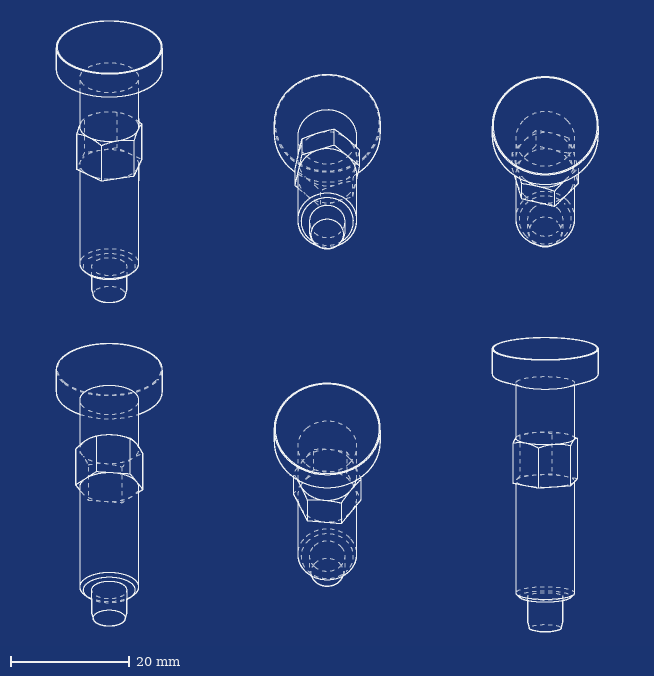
import cadquery as cq
import math

total_height = 49.0
head_edge_z = 44.4
neck_top_z = 43.0
hex_top_z = 33.4
hex_bottom_z = 26.0
body_bottom_z = 6.0
pin_nose_z = 1.55
pin_tip_z = 0.5

head_radius = 18.0 / 2
body_diameter = 10.0
body_radius = body_diameter / 2
pin_radius = 6.0 / 2
pin_waist_radius = 2.85
pin_tip_radius = 2.75

dish_depth = 1.05
rim_width = 0.2
rim_drop = 0.05
head_edge_round = 0.4
body_chamfer = 0.6

hex_corner_radius = body_radius / math.cos(math.pi / 6)
hex_chamfer_angle = math.radians(30)


def make_head():
    """Knob with a rounded lower edge, conical underside and dished top."""
    dish_radius = head_radius - rim_width
    dish_sphere_radius = (dish_radius**2 + dish_depth**2) / (2 * dish_depth)
    dish_mid_radius = dish_radius / 2
    dish_bottom_z = total_height - dish_depth
    dish_mid_z = dish_bottom_z + dish_sphere_radius - math.sqrt(dish_sphere_radius**2 - dish_mid_radius**2)
    profile = (
        cq.Workplane("XZ")
        .moveTo(0, neck_top_z)
        .lineTo(body_radius, neck_top_z)
        .lineTo(head_radius, head_edge_z)
        .lineTo(head_radius, total_height - rim_drop)
        .lineTo(dish_radius, total_height)
        .threePointArc((dish_mid_radius, dish_mid_z), (0, dish_bottom_z))
        .close()
    )
    head = profile.revolve(360, (0, 0), (0, 1))
    edge_box = cq.selectors.BoxSelector(
        (-head_radius, -head_radius, head_edge_z - head_edge_round),
        (head_radius, head_radius, head_edge_z + head_edge_round),
        boundingbox=False,
    )
    return head.edges("%CIRCLE").edges(edge_box).fillet(head_edge_round)


def make_body():
    """Cylindrical sleeve with a chamfered lower end."""
    body = cq.Workplane("XY", origin=(0, 0, body_bottom_z)).circle(body_radius)
    return body.extrude(neck_top_z - body_bottom_z).faces("<Z").chamfer(body_chamfer)


def make_hexagon():
    """Wrench hexagon with its upper corners turned off by a cone."""
    height = hex_top_z - hex_bottom_z
    hexagon = (
        cq.Workplane("XY", origin=(0, 0, hex_bottom_z))
        .polygon(6, 2 * hex_corner_radius)
        .extrude(height)
        .rotate((0, 0, 0), (0, 0, 1), 30)
    )
    corner_drop = (hex_corner_radius - body_radius) * math.tan(hex_chamfer_angle)
    turned_blank = (
        cq.Workplane("XZ")
        .moveTo(0, hex_bottom_z)
        .lineTo(hex_corner_radius, hex_bottom_z)
        .lineTo(hex_corner_radius, hex_top_z - corner_drop)
        .lineTo(body_radius, hex_top_z)
        .lineTo(0, hex_top_z)
        .close()
        .revolve(360, (0, 0), (0, 1))
    )
    return hexagon.intersect(turned_blank)


def make_pin():
    """Locking pin with a slightly hollow tapered nose and a shallow domed tip."""
    nose_mid_z = (pin_nose_z + pin_tip_z) / 2
    profile = (
        cq.Workplane("XZ")
        .moveTo(0, body_bottom_z + body_chamfer)
        .lineTo(pin_radius, body_bottom_z + body_chamfer)
        .lineTo(pin_radius, pin_nose_z)
        .threePointArc((pin_waist_radius, nose_mid_z), (pin_tip_radius, pin_tip_z))
    )
    tip_sphere_radius = (pin_tip_radius**2 + pin_tip_z**2) / (2 * pin_tip_z)
    tip_mid_radius = pin_tip_radius / 2
    tip_mid_z = tip_sphere_radius - math.sqrt(tip_sphere_radius**2 - tip_mid_radius**2)
    profile = profile.threePointArc((tip_mid_radius, tip_mid_z), (0, 0)).close()
    return profile.revolve(360, (0, 0), (0, 1))


result = make_body().union(make_hexagon()).union(make_pin()).union(make_head())